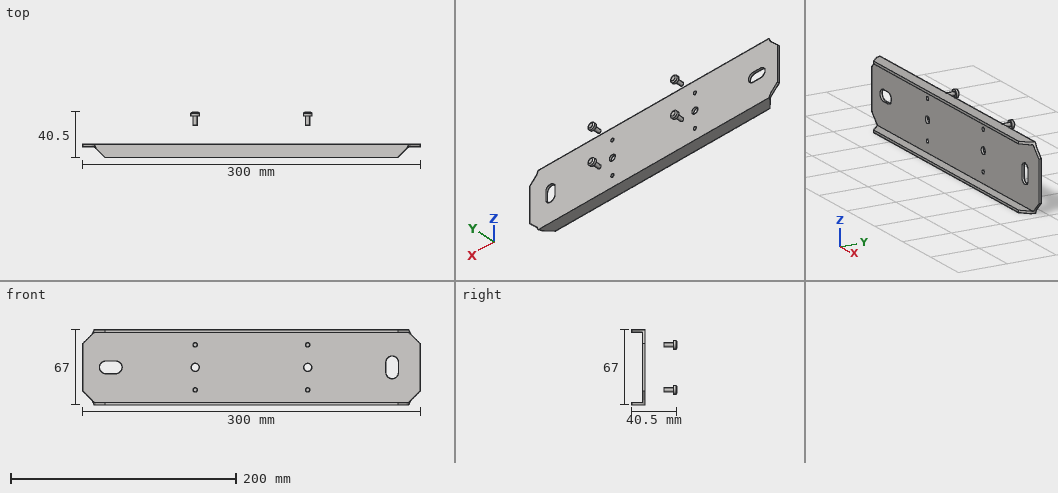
import cadquery as cq

length = 300.0
width = 67.0
thickness = 2.5
flange_depth = 12.0

bend_strip = 4.25
corner_cut = 8.25
bend_setback = 10.3
flange_setback = 12.25
tip_setback = flange_setback + flange_depth - bend_strip

slot_length = 20.0
slot_width = 11.0
slot_inset = 25.0
hole_spacing_x = 100.0
small_hole_spacing_z = 40.0
small_hole_diameter = 3.6
center_hole_diameter = 7.0

overall_depth = 40.48
shank_diameter = 4.0
shank_length = 8.3
head_diameter = 8.0
head_rim_height = 2.4
head_height = 3.48
head_top_diameter = 5.0

half_length = length / 2
half_width = width / 2
screw_top_y = overall_depth - flange_depth
screw_seat_y = screw_top_y - head_height


def strip_section(setback, outer, inner):
    """Rectangle across the sheet, spanning the plate lengthwise between two (y, z) points."""
    half = half_length - setback
    corners = [(-half, *outer), (half, *outer), (half, *inner), (-half, *inner)]
    return cq.Wire.makePolygon([cq.Vector(*corner) for corner in corners], close=True)


def make_bend():
    """Sharp upper bend, lofted from the web edge over the corner to the flange edge."""
    inner_z = half_width - thickness
    strip_z = half_width - bend_strip
    web_end = strip_section(corner_cut, (0, strip_z), (-thickness, strip_z))
    corner = strip_section(bend_setback, (0, half_width), (-thickness, inner_z))
    flange_end = strip_section(flange_setback, (-bend_strip, half_width), (-bend_strip, inner_z))
    web_side = cq.Solid.makeLoft([web_end, corner], True)
    flange_side = cq.Solid.makeLoft([corner, flange_end], True)
    return cq.Workplane(web_side).union(cq.Workplane(flange_side))


def make_flange():
    """Flat part of the upper flange, its ends tapering toward the free edge."""
    root_half = half_length - flange_setback
    tip_half = half_length - tip_setback
    outline = [
        (-root_half, -bend_strip),
        (root_half, -bend_strip),
        (tip_half, -flange_depth),
        (-tip_half, -flange_depth),
    ]
    flange = cq.Workplane("XY").polyline(outline).close().extrude(thickness)
    return flange.translate((0, 0, half_width - thickness))


def make_plate():
    """Plate with the back face of its web at Y = 0 and its flanges running toward -Y."""
    web_width = width - 2 * bend_strip
    web = cq.Workplane("XZ").rect(length, web_width).extrude(thickness)
    web = web.edges("|Y").chamfer(corner_cut)
    upper_edge = make_bend().union(make_flange())
    plate = web.union(upper_edge).union(upper_edge.mirror("XY"))

    slot_x = half_length - slot_inset
    lengthwise_slot = cq.Workplane("XZ").center(-slot_x, 0).slot2D(slot_length, slot_width)
    crosswise_slot = cq.Workplane("XZ").center(slot_x, 0).slot2D(slot_length, slot_width, 90)
    center_holes = cq.Workplane("XZ").rarray(hole_spacing_x, 1, 2, 1).circle(center_hole_diameter / 2)
    small_holes = (
        cq.Workplane("XZ")
        .rarray(hole_spacing_x, small_hole_spacing_z, 2, 2)
        .circle(small_hole_diameter / 2)
    )
    for opening in (lengthwise_slot, crosswise_slot, center_holes, small_holes):
        plate = plate.cut(opening.extrude(thickness))
    return plate


def make_screw(x, z):
    """Pan head screw along Y, head toward +Y."""
    profile = (
        cq.Workplane("XY")
        .moveTo(0, -shank_length)
        .lineTo(shank_diameter / 2, -shank_length)
        .lineTo(shank_diameter / 2, 0)
        .lineTo(head_diameter / 2, 0)
        .lineTo(head_diameter / 2, head_rim_height)
        .lineTo(head_top_diameter / 2, head_height)
        .lineTo(0, head_height)
        .close()
    )
    return profile.revolve(360, (0, 0, 0), (0, 1, 0)).translate((x, screw_seat_y, z))


plate = make_plate()
screws = [
    make_screw(x, z)
    for x in (-hole_spacing_x / 2, hole_spacing_x / 2)
    for z in (-small_hole_spacing_z / 2, small_hole_spacing_z / 2)
]
result = cq.Compound.makeCompound([plate.val(), *[screw.val() for screw in screws]])